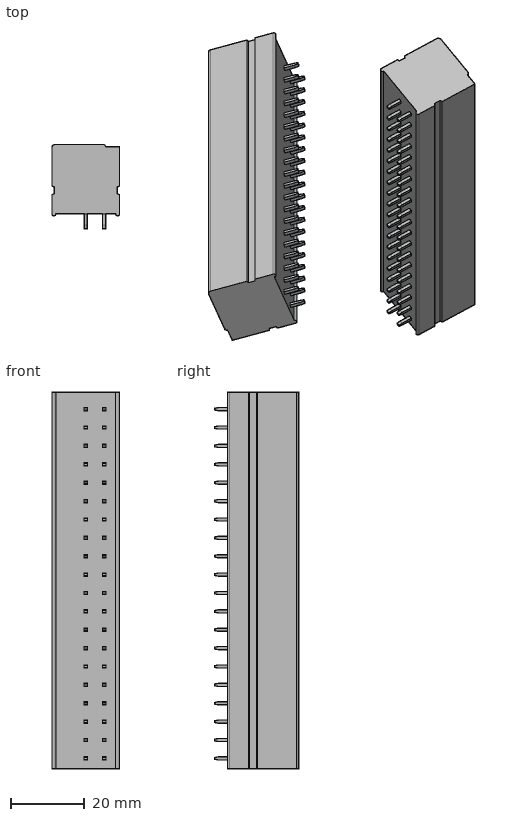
import cadquery as cq

length = 102.5
width = 18.5
overall_depth = 23.0
half_width = width / 2

back_corner_radius = 0.9
step_depth = 0.6
step_start_x = 5.0
step_slope_run = 0.5

groove_depth = 0.6
groove_center_y = -12.5
groove_mouth_width = 2.4
groove_bottom_width = 1.8

foot_radius = 0.56
foot_tip_y = -19.5
floor_y = foot_tip_y + foot_radius

pin_rows = 20
pin_columns = 2
pin_column_length = 95.0
pin_pitch = pin_column_length / (pin_rows - 1)
first_pin_x = 0.0
first_pin_z = 2.9
pin_thickness = 0.9
pin_tip_thickness = 0.5
pin_taper_length = 1.0
pin_root = 1.0


def make_housing():
    """Extrude the housing profile over the full length."""
    profile = (
        cq.Workplane("XY")
        .moveTo(-half_width, floor_y)
        .lineTo(-half_width, -back_corner_radius)
        .radiusArc((-half_width + back_corner_radius, 0), back_corner_radius)
        .lineTo(step_start_x, 0)
        .lineTo(step_start_x + step_slope_run, -step_depth)
        .lineTo(half_width, -step_depth)
        .lineTo(half_width, floor_y)
        .threePointArc((half_width - foot_radius, foot_tip_y), (half_width - 2 * foot_radius, floor_y))
        .lineTo(-half_width + 2 * foot_radius, floor_y)
        .threePointArc((-half_width + foot_radius, foot_tip_y), (-half_width, floor_y))
        .close()
    )
    return profile.extrude(length)


def make_side_groove(side):
    """Bar that cuts a groove with sloped walls; side is -1 for the left, 1 for the right."""
    mouth_x = side * half_width
    bottom_x = side * (half_width - groove_depth)
    return (
        cq.Workplane("XY")
        .moveTo(mouth_x, groove_center_y + groove_mouth_width / 2)
        .lineTo(bottom_x, groove_center_y + groove_bottom_width / 2)
        .lineTo(bottom_x, groove_center_y - groove_bottom_width / 2)
        .lineTo(mouth_x, groove_center_y - groove_mouth_width / 2)
        .close()
        .extrude(length)
    )


def make_pin(x, z):
    """Square pin pointing along -Y, tapered to its tip on the top and bottom."""
    half_pin = pin_thickness / 2
    half_tip = pin_tip_thickness / 2
    taper_start_y = -overall_depth + pin_taper_length
    return (
        cq.Workplane("YZ", origin=(x, 0, z))
        .moveTo(floor_y + pin_root, half_pin)
        .lineTo(taper_start_y, half_pin)
        .lineTo(-overall_depth, half_tip)
        .lineTo(-overall_depth, -half_tip)
        .lineTo(taper_start_y, -half_pin)
        .lineTo(floor_y + pin_root, -half_pin)
        .close()
        .extrude(half_pin, both=True)
    )


result = make_housing()
for side in (-1, 1):
    result = result.cut(make_side_groove(side))
for column in range(pin_columns):
    for row in range(pin_rows):
        pin = make_pin(first_pin_x + column * pin_pitch, first_pin_z + row * pin_pitch)
        result = result.union(pin)